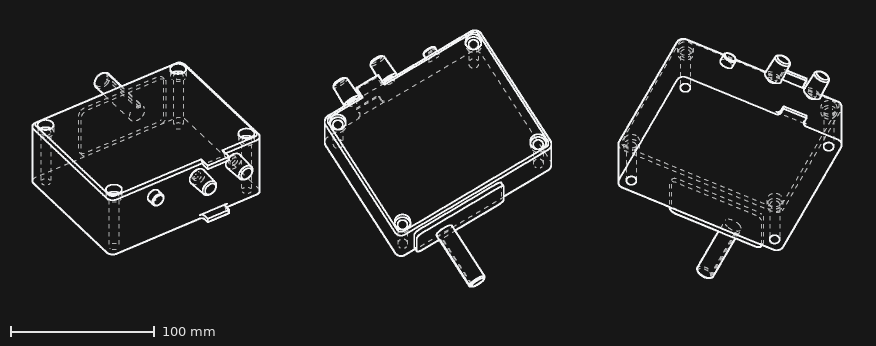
import cadquery as cq

OVERALL_LENGTH = 168.3

HOUSING_LENGTH = 101.6
HOUSING_WIDTH = 127.0
HOUSING_HEIGHT = 50.8
CORNER_RADIUS = 5.0
TOP_CHAMFER = 2.0

MOUNT_HOLE_DIAMETER = 6.9
COUNTERBORE_DIAMETER = 11.1
COUNTERBORE_DEPTH = 6.4
MOUNT_HOLE_INSET = 8.0

KNOB_BASE_DIAMETER = 12.8
KNOB_END_DIAMETER = 11.5
KNOB_END_CHAMFER = 1.2
KNOB_SPACING = 30.3
KNOB_PAIR_Y = 22.4
KNOB_Z = 41.2
STEM_DIAMETER = 6.4
STEM_LENGTH = 2.5

TAB_REACH = 6.4
TAB_WIDTH = 17.8
TAB_THICKNESS = 3.2
TAB_ROOT_RADIUS = 2.5

BUTTON_DIAMETER = 9.6
BUTTON_REACH = 6.4
BUTTON_CHAMFER = 0.7
BUTTON_Y = -27.8
BUTTON_Z = 38.4

PLATE_THICKNESS = 3.2
PLATE_WIDTH = 71.2
PLATE_HEIGHT = 40.7
PLATE_Y = 15.1

SHAFT_DIAMETER = 12.8
SHAFT_CHAMFER = 1.0
SHAFT_REACH = 47.6
SHAFT_Y = 28.5
SHAFT_Z = 15.8
KEYWAY_WIDTH = 3.0
KEYWAY_DEPTH = 2.0
KEYWAY_LENGTH = 39.4

KNOB_REACH = OVERALL_LENGTH - SHAFT_REACH - HOUSING_LENGTH


def make_block():
    """Housing block with rounded corners, chamfered top rim and mounting holes."""
    return (
        cq.Workplane("XY")
        .box(HOUSING_LENGTH, HOUSING_WIDTH, HOUSING_HEIGHT, centered=(False, True, False))
        .edges("|Z")
        .fillet(CORNER_RADIUS)
        .faces(">Z")
        .chamfer(TOP_CHAMFER)
        .faces(">Z")
        .workplane(origin=(HOUSING_LENGTH / 2, 0, HOUSING_HEIGHT))
        .rect(
            HOUSING_LENGTH - 2 * MOUNT_HOLE_INSET,
            HOUSING_WIDTH - 2 * MOUNT_HOLE_INSET,
            forConstruction=True,
        )
        .vertices()
        .cboreHole(MOUNT_HOLE_DIAMETER, COUNTERBORE_DIAMETER, COUNTERBORE_DEPTH)
    )


def make_tab(base_z):
    """Guard tab that starts inside the block, so it also fills the rim chamfer."""
    root_depth = CORNER_RADIUS
    return (
        cq.Workplane("XY")
        .box(root_depth + TAB_REACH, TAB_WIDTH, TAB_THICKNESS, centered=(False, True, False))
        .translate((HOUSING_LENGTH - root_depth, KNOB_PAIR_Y, base_z))
    )


def round_tab_roots(body):
    """Fillet the two vertical inner corners where the bottom tab meets the wall."""
    margin = 0.2
    half_width = TAB_WIDTH / 2 + margin
    root_corners = cq.selectors.BoxSelector(
        (HOUSING_LENGTH - margin, KNOB_PAIR_Y - half_width, -margin),
        (HOUSING_LENGTH + margin, KNOB_PAIR_Y + half_width, TAB_THICKNESS + margin),
    )
    return body.edges("|Z").edges(root_corners).fillet(TAB_ROOT_RADIUS)


def make_knob(y):
    """Stem and tapered grip, turned about an axis along X."""
    return (
        cq.Workplane("XY")
        .lineTo(0, STEM_DIAMETER / 2)
        .lineTo(STEM_LENGTH, STEM_DIAMETER / 2)
        .lineTo(STEM_LENGTH, KNOB_BASE_DIAMETER / 2)
        .lineTo(KNOB_REACH, KNOB_END_DIAMETER / 2)
        .lineTo(KNOB_REACH, 0)
        .close()
        .revolve(360, (0, 0, 0), (1, 0, 0))
        .faces(">X")
        .chamfer(KNOB_END_CHAMFER)
        .translate((HOUSING_LENGTH, y, KNOB_Z))
    )


def make_button():
    return (
        cq.Workplane("YZ", origin=(HOUSING_LENGTH, BUTTON_Y, BUTTON_Z))
        .circle(BUTTON_DIAMETER / 2)
        .extrude(BUTTON_REACH)
        .faces(">X")
        .chamfer(BUTTON_CHAMFER)
    )


def make_housing():
    """Block with its guard tabs, knobs and button as one solid."""
    body = round_tab_roots(make_block().union(make_tab(0)))
    body = body.union(make_tab(HOUSING_HEIGHT - TAB_THICKNESS))
    for side in (-1, 1):
        body = body.union(make_knob(KNOB_PAIR_Y + side * KNOB_SPACING / 2))
    return body.union(make_button())


def make_face_plate():
    return (
        cq.Workplane("XY")
        .box(PLATE_THICKNESS, PLATE_WIDTH, PLATE_HEIGHT, centered=(False, True, False))
        .edges("|X")
        .fillet(CORNER_RADIUS)
        .translate((-PLATE_THICKNESS, PLATE_Y, 0))
    )


def make_shaft():
    """Round shaft with a chamfered tip and a keyway on its +Y side."""
    rod = (
        cq.Workplane("YZ", origin=(-SHAFT_REACH, SHAFT_Y, SHAFT_Z))
        .circle(SHAFT_DIAMETER / 2)
        .extrude(SHAFT_REACH - PLATE_THICKNESS)
        .faces("<X")
        .chamfer(SHAFT_CHAMFER)
    )
    keyway = (
        cq.Workplane("XZ", origin=(-SHAFT_REACH, SHAFT_Y + SHAFT_DIAMETER / 2, SHAFT_Z))
        .slot2D(2 * KEYWAY_LENGTH, KEYWAY_WIDTH)
        .extrude(KEYWAY_DEPTH)
    )
    return rod.cut(keyway)


housing = make_housing().solids()
face_plate = make_face_plate().solids()
shaft = make_shaft().solids()

result = cq.Compound.makeCompound([housing.val(), face_plate.val(), shaft.val()])